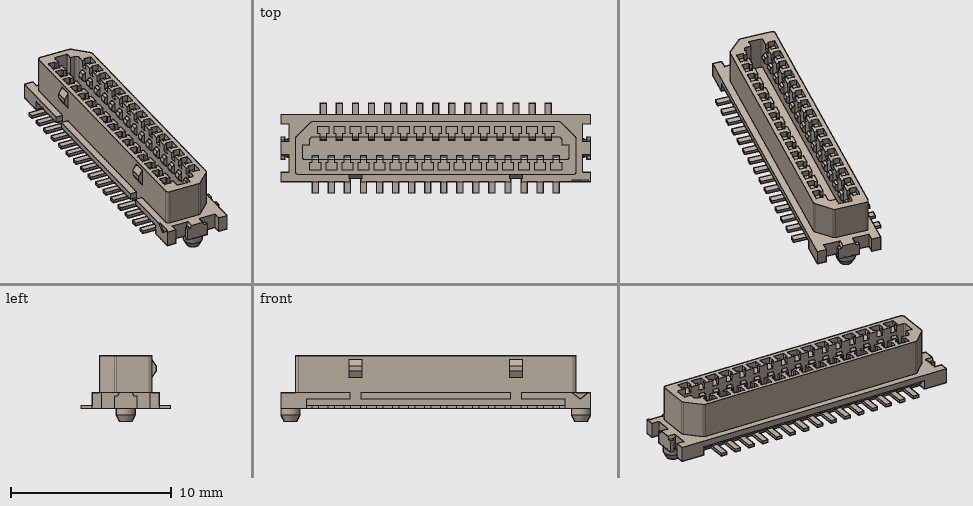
import cadquery as cq


BASE_LENGTH = 19.3
BASE_WIDTH = 4.2
BASE_HEIGHT = 1.0
END_NOTCH_DEPTH = 0.5
END_NOTCH_WIDTH = 3.0

TAB_TOP_HALF_WIDTH = 0.4
TAB_NECK_HALF_WIDTH = 0.5
TAB_WING_HALF_WIDTH = 0.7
TAB_WING_THICKNESS = 0.25
TAB_SHOULDER_DROP = 0.2

HOUSING_LENGTH = 17.5
HOUSING_WIDTH = 3.3
HOUSING_TOP = 3.3
HOUSING_CHAMFER = 1.0
HOUSING_EDGE_RADIUS = 0.2

SLOT_FLOOR = 1.0
SLOT_LOWER_LENGTH = 16.6
SLOT_UPPER_LENGTH = 15.7
SLOT_BACK_Y = 0.7
SLOT_STEP_Y = 0.2
SLOT_FRONT_Y = -0.7
SLOT_BACK_RADIUS = 0.2
SLOT_FRONT_RADIUS = 0.1

PITCH = 1.0
FRONT_COUNT = 16
BACK_COUNT = 15
POCKET_WIDTH = 0.7
POCKET_DEPTH = 0.4
POCKET_OUTER_Y = 1.35
POCKET_INNER_Y = 0.9
CONTACT_WIDTH = 0.4
NOSE_TIP_Y = 0.47
NOSE_CREASE_Y = 0.54
NOSE_Z = 2.3
NOSE_CREASE_HALF_HEIGHT = 0.22
NOSE_ROOT_HALF_HEIGHT = 0.34
LEAD_SPAN = 5.6
LEAD_THICKNESS = 0.2

RELIEF_LENGTH = 16.1
RELIEF_HEIGHT = 0.6
UNDERCUT_DEPTH = 0.1

LATCH_X = 5.0
LATCH_WIDTH = 0.8
LATCH_REACH = 0.25
LATCH_TOP = 3.05
LATCH_FLAT_TOP = 2.65
LATCH_FLAT_BOTTOM = 2.35
LATCH_BOTTOM = 1.95
FLANGE_GAP_WIDTH = 0.7

PEG_DIAMETER = 1.2
PEG_TIP_DIAMETER = 0.8
PEG_LENGTH = 0.8
PEG_TAPER_LENGTH = 0.4

MARK_X = 9.0
MARK_WIDTH = 1.0
MARK_HEIGHT = 0.4
MARK_DEPTH = 0.1

EPS = 0.05


def block(x_range, y_range, z_range):
    """Box given by its lower and upper limit along each axis."""
    (x0, x1), (y0, y1), (z0, z1) = x_range, y_range, z_range
    return cq.Workplane("XY").box(x1 - x0, y1 - y0, z1 - z0, centered=False).translate((x0, y0, z0))


def extrude_along_x(yz_points, x_start, x_end):
    """Prism with a constant YZ profile."""
    return cq.Workplane("YZ").workplane(offset=x_start).polyline(yz_points).close().extrude(x_end - x_start)


def mirrored_pair(body):
    """The body together with its mirror image at the opposite end in X."""
    return body.union(body.mirror("YZ"))


def row_positions(count):
    return [(i - (count - 1) / 2) * PITCH for i in range(count)]


def make_base():
    base = block(
        (-BASE_LENGTH / 2, BASE_LENGTH / 2),
        (-BASE_WIDTH / 2, BASE_WIDTH / 2),
        (0, BASE_HEIGHT),
    )
    notch = block(
        (-BASE_LENGTH / 2 - EPS, -BASE_LENGTH / 2 + END_NOTCH_DEPTH),
        (-END_NOTCH_WIDTH / 2, END_NOTCH_WIDTH / 2),
        (-EPS, BASE_HEIGHT + EPS),
    )
    return base.cut(mirrored_pair(notch)).union(mirrored_pair(make_end_tab()))


def make_end_tab():
    x_outer = -BASE_LENGTH / 2
    x_inner = x_outer + END_NOTCH_DEPTH
    shoulder_z = BASE_HEIGHT - TAB_SHOULDER_DROP
    neck_profile = [
        (-TAB_NECK_HALF_WIDTH, 0),
        (-TAB_NECK_HALF_WIDTH, shoulder_z),
        (-TAB_TOP_HALF_WIDTH, BASE_HEIGHT),
        (TAB_TOP_HALF_WIDTH, BASE_HEIGHT),
        (TAB_NECK_HALF_WIDTH, shoulder_z),
        (TAB_NECK_HALF_WIDTH, 0),
    ]
    neck = extrude_along_x(neck_profile, x_outer, x_inner + EPS)
    wings = block(
        (x_outer, x_outer + TAB_WING_THICKNESS),
        (-TAB_WING_HALF_WIDTH, TAB_WING_HALF_WIDTH),
        (0, shoulder_z),
    )
    return neck.union(wings)


def make_housing():
    half_x = HOUSING_LENGTH / 2
    half_y = HOUSING_WIDTH / 2
    outline = [
        (-half_x, -half_y),
        (half_x, -half_y),
        (half_x, half_y - HOUSING_CHAMFER),
        (half_x - HOUSING_CHAMFER, half_y),
        (-half_x + HOUSING_CHAMFER, half_y),
        (-half_x, half_y - HOUSING_CHAMFER),
    ]
    return (
        cq.Workplane("XY")
        .workplane(offset=BASE_HEIGHT)
        .polyline(outline)
        .close()
        .extrude(HOUSING_TOP - BASE_HEIGHT)
        .edges("|Z")
        .fillet(HOUSING_EDGE_RADIUS)
    )


def make_slot():
    height = HOUSING_TOP - SLOT_FLOOR + EPS
    half_lower = SLOT_LOWER_LENGTH / 2
    half_upper = SLOT_UPPER_LENGTH / 2
    lower = block(
        (-half_lower, half_lower), (SLOT_FRONT_Y, SLOT_STEP_Y), (SLOT_FLOOR, SLOT_FLOOR + height)
    )
    lower = lower.edges("|Z and <Y").fillet(SLOT_FRONT_RADIUS)
    upper = block(
        (-half_upper, half_upper), (SLOT_STEP_Y - EPS, SLOT_BACK_Y), (SLOT_FLOOR, SLOT_FLOOR + height)
    )
    upper = upper.edges("|Z and >Y").fillet(SLOT_BACK_RADIUS)
    return lower.union(upper)


def make_pocket():
    """Shallow pocket of one back-row contact at X = 0: a wide chamber and a narrow neck into the slot."""
    z_range = (HOUSING_TOP - POCKET_DEPTH, HOUSING_TOP + EPS)
    chamber = block((-POCKET_WIDTH / 2, POCKET_WIDTH / 2), (POCKET_INNER_Y, POCKET_OUTER_Y), z_range)
    neck = block(
        (-CONTACT_WIDTH / 2, CONTACT_WIDTH / 2), (SLOT_BACK_Y - EPS, POCKET_INNER_Y + EPS), z_range
    )
    return chamber.union(neck)


def make_contact_nose():
    """Nose of one back-row contact at X = 0: a rounded crest between two slopes off the slot wall."""
    root_y = SLOT_BACK_Y + EPS
    return (
        cq.Workplane("YZ")
        .workplane(offset=-CONTACT_WIDTH / 2)
        .moveTo(root_y, NOSE_Z + NOSE_ROOT_HALF_HEIGHT)
        .lineTo(SLOT_BACK_Y, NOSE_Z + NOSE_ROOT_HALF_HEIGHT)
        .lineTo(NOSE_CREASE_Y, NOSE_Z + NOSE_CREASE_HALF_HEIGHT)
        .threePointArc((NOSE_TIP_Y, NOSE_Z), (NOSE_CREASE_Y, NOSE_Z - NOSE_CREASE_HALF_HEIGHT))
        .lineTo(SLOT_BACK_Y, NOSE_Z - NOSE_ROOT_HALF_HEIGHT)
        .lineTo(root_y, NOSE_Z - NOSE_ROOT_HALF_HEIGHT)
        .close()
        .extrude(CONTACT_WIDTH)
    )


def make_lead():
    """Solder lead of one back-row contact at X = 0."""
    root_y = HOUSING_WIDTH / 2 - UNDERCUT_DEPTH - EPS
    return block((-CONTACT_WIDTH / 2, CONTACT_WIDTH / 2), (root_y, LEAD_SPAN / 2), (0, LEAD_THICKNESS))


def both_rows(body):
    """Copies of a back-row body at every contact position, mirrored for the front row."""
    front_body = body.mirror("XZ").val()
    copies = [body.val().translate(cq.Vector(x, 0, 0)) for x in row_positions(BACK_COUNT)]
    copies += [front_body.translate(cq.Vector(x, 0, 0)) for x in row_positions(FRONT_COUNT)]
    return cq.Workplane("XY").newObject([cq.Compound.makeCompound(copies)])


def make_edge_reliefs():
    x_range = (-RELIEF_LENGTH / 2, RELIEF_LENGTH / 2)
    wall_y = HOUSING_WIDTH / 2
    outer_y = BASE_WIDTH / 2 + EPS
    relief = block(x_range, (wall_y, outer_y), (-EPS, RELIEF_HEIGHT))
    undercut = block(x_range, (wall_y - UNDERCUT_DEPTH, outer_y), (-EPS, LEAD_THICKNESS))
    relief = relief.union(undercut)
    return relief.union(relief.mirror("XZ"))


def make_flange_gaps():
    gap = block(
        (LATCH_X - FLANGE_GAP_WIDTH / 2, LATCH_X + FLANGE_GAP_WIDTH / 2),
        (-BASE_WIDTH / 2 - EPS, -HOUSING_WIDTH / 2),
        (-EPS, BASE_HEIGHT + EPS),
    )
    return mirrored_pair(gap)


def make_latches():
    wall_y = -HOUSING_WIDTH / 2
    crest_y = wall_y - LATCH_REACH
    profile = [
        (wall_y + EPS, LATCH_TOP),
        (wall_y, LATCH_TOP),
        (crest_y, LATCH_FLAT_TOP),
        (crest_y, LATCH_FLAT_BOTTOM),
        (wall_y, LATCH_BOTTOM),
        (wall_y + EPS, LATCH_BOTTOM),
    ]
    return mirrored_pair(extrude_along_x(profile, LATCH_X - LATCH_WIDTH / 2, LATCH_X + LATCH_WIDTH / 2))


def make_pegs():
    shank_bottom = PEG_TAPER_LENGTH - PEG_LENGTH
    half_profile = [
        (0, EPS),
        (PEG_DIAMETER / 2, EPS),
        (PEG_DIAMETER / 2, shank_bottom),
        (PEG_TIP_DIAMETER / 2, -PEG_LENGTH),
        (0, -PEG_LENGTH),
    ]
    peg = cq.Workplane("XZ").polyline(half_profile).close().revolve(360, (0, 0), (0, 1))
    return mirrored_pair(peg.translate((BASE_LENGTH / 2 - PEG_DIAMETER / 2, 0, 0)))


def make_pin_one_mark():
    triangle = [
        (MARK_X - MARK_WIDTH / 2, BASE_HEIGHT),
        (MARK_X + MARK_WIDTH / 2, BASE_HEIGHT),
        (MARK_X, BASE_HEIGHT - MARK_HEIGHT),
    ]
    front_y = -BASE_WIDTH / 2
    return cq.Workplane("XZ", origin=(0, front_y, 0)).polyline(triangle).close().extrude(-MARK_DEPTH)


body = make_base().union(make_housing())
body = body.cut(make_slot()).cut(both_rows(make_pocket()))
body = body.cut(make_edge_reliefs()).cut(make_flange_gaps()).cut(make_pin_one_mark())
body = body.union(make_latches()).union(make_pegs())
result = body.union(both_rows(make_contact_nose())).union(both_rows(make_lead()))